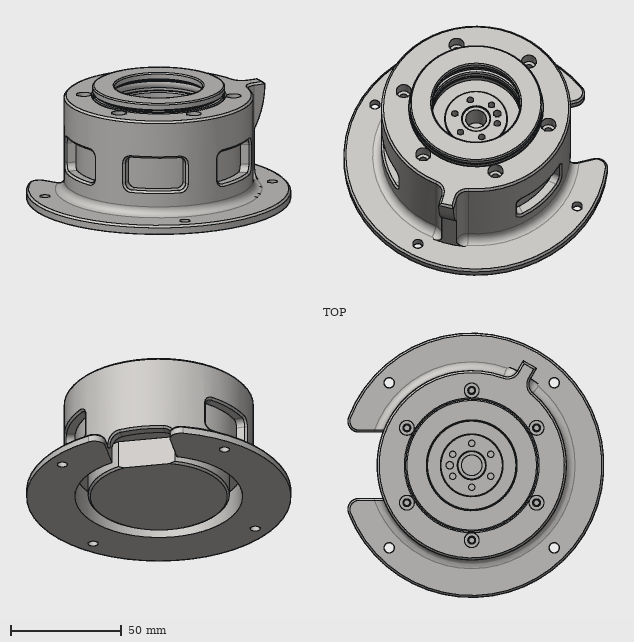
import cadquery as cq
import math

edge_chamfer = 1.0
overall_height = 53.0
housing_height = 48.4
wall_radius = 43.0
bore_radius = 38.0
bore_height = 38.0

flange_radius = 60.0
flange_thickness = 4.1
flange_fillet = 4.0
flange_hole_radius = 2.3
flange_hole_offset = 37.4

slot_half_width = 15.0
slot_height = 12.0
slot_corner_radius = 5.0
flange_horn_radius = 5.0

window_span = 38
window_height = 15.5
window_middle_height = 23.0
window_corner_radius = 3.1
window_angles = [-120, -60, 0, 120]

lug_angle = 60
lug_reach = 52.8
lug_foot_reach = 47.6
lug_half_width = 3.5
lug_root_fillet = 5.0
lug_underside_radius = 42.0

screw_count = 6
screw_start_angle = 30
screw_circle_radius = 34.0
screw_hole_radius = 1.8
screw_thread_radius = 1.3
screw_thread_depth = 6.0
screw_head_radius = 3.4
screw_head_depth = 6.0

bearing_radius = 30.0
bearing_base = 40.4
seat_chamfer = 0.6
upper_washer_bore_radius = 20.0
lower_washer_bore_radius = 20.5
upper_washer_base = 49.5
lower_washer_top = 44.2
washer_chamfer = 0.6
cage_inner_radius = 22.3
cage_outer_radius = 29.5
cage_top = 48.6
ball_circle_radius = 25.2
ball_radius = 3.2
roof_opening_radius = 20.3

motor_lower_radius = 32.0
motor_step_height = 13.8
motor_flat_half_width = 13.1
output_disc_radius = 14.3
output_disc_height = 0.5
output_disc_chamfer = 0.4
output_hole_count = 6
output_start_angle = 30
output_circle_radius = 10.0
output_hole_radius = 1.4
output_hole_depth = 6.0
dowel_hole_radius = 1.7
shaft_recess_radius = 6.6
shaft_recess_depth = 0.5
shaft_recess_chamfer = 0.4
shaft_hole_radius = 4.7
shaft_hole_depth = 12.0


def cylinder(radius, base, top):
    return cq.Workplane("XY", origin=(0, 0, base)).circle(radius).extrude(top - base)


def revolved(profile):
    """Turn a profile of radius and height about the Z axis."""
    return profile.revolve(360, (0, 0, 0), (0, 1, 0))


def holes(centres, radius, base, top):
    plane = cq.Workplane("XY", origin=(0, 0, base))
    return plane.pushPoints(centres).circle(radius).extrude(top - base)


def ring_points(count, radius, start_angle):
    angles = [math.radians(start_angle + 360 * i / count) for i in range(count)]
    return [(radius * math.cos(a), radius * math.sin(a)) for a in angles]


screw_centres = ring_points(screw_count, screw_circle_radius, screw_start_angle)


def make_lug_column():
    """Full height column with the plan shape of the lug and its filleted roots, along +X."""
    root_y = lug_half_width + lug_root_fillet
    root_x = math.sqrt((wall_radius + lug_root_fillet) ** 2 - root_y ** 2)
    touch_scale = wall_radius / (wall_radius + lug_root_fillet)
    touch = (root_x * touch_scale, root_y * touch_scale)
    start_angle = math.pi + math.atan2(root_y, root_x)
    end_angle = 1.5 * math.pi
    mid_angle = (start_angle + end_angle) / 2
    middle = (
        root_x + lug_root_fillet * math.cos(mid_angle),
        root_y + lug_root_fillet * math.sin(mid_angle),
    )
    return (
        cq.Workplane("XY")
        .moveTo(bore_radius, touch[1])
        .lineTo(*touch)
        .threePointArc(middle, (root_x, lug_half_width))
        .lineTo(lug_reach, lug_half_width)
        .lineTo(lug_reach, -lug_half_width)
        .lineTo(root_x, -lug_half_width)
        .threePointArc((middle[0], -middle[1]), (touch[0], -touch[1]))
        .lineTo(bore_radius, -touch[1])
        .close()
        .extrude(housing_height)
    )


def make_lug_trim():
    """Cutter for what lies outside the lug's curved underside and its foot."""
    underside = (
        cylinder(lug_underside_radius, -flange_radius, flange_radius)
        .rotate((0, 0, 0), (1, 0, 0), 90)
        .translate((lug_reach - lug_underside_radius, 0, housing_height - edge_chamfer))
    )
    above_flange = cylinder(flange_radius, flange_thickness, housing_height)
    foot = cylinder(lug_foot_reach, flange_thickness, housing_height)
    return above_flange.cut(foot).cut(underside)


def make_blank():
    """Flange, wall and lug, with one fillet where wall and lug meet the flange."""
    wall = cylinder(wall_radius, 0, housing_height)
    body = cylinder(flange_radius, 0, flange_thickness).union(wall).union(make_lug_column())
    wall_foot = cq.selectors.RadiusNthSelector(-1)
    selection_margin = 0.1
    at_flange_top = cq.selectors.BoxSelector(
        (-lug_reach, -lug_reach, flange_thickness - selection_margin),
        (lug_reach, lug_reach, flange_thickness + selection_margin),
        boundingbox=True,
    )
    body = body.edges(at_flange_top).edges(wall_foot).fillet(flange_fillet)
    body = body.cut(make_lug_trim())
    return body.rotate((0, 0, 0), (0, 0, 1), lug_angle)


def cut_cable_slot(body):
    """Cut the slot, round the flange horns and bevel rim, horns and slot mouth in one run."""
    slot = (
        cq.Workplane("YZ")
        .rect(2 * slot_half_width, 2 * slot_height)
        .extrude(-flange_radius)
        .edges("|X")
        .fillet(slot_corner_radius)
    )
    body = body.cut(slot)
    horn_tips = cq.selectors.BoxSelector(
        (-flange_radius, -flange_radius, 0),
        (-wall_radius - flange_fillet, flange_radius, flange_thickness),
    )
    body = body.edges("|Z").edges(horn_tips).fillet(flange_horn_radius)
    largest_radius = cq.selectors.RadiusNthSelector(-1)
    return body.edges(largest_radius).edges(">Z").chamfer(edge_chamfer)


def cut_window(body, angle):
    """Cut an opening with radial sides through the wall and bevel its mouth."""
    side_slope = math.tan(math.radians(window_span / 2))
    window = (
        cq.Workplane("XY", origin=(0, 0, window_middle_height - window_height / 2))
        .moveTo(roof_opening_radius, -roof_opening_radius * side_slope)
        .lineTo(flange_radius, -flange_radius * side_slope)
        .lineTo(flange_radius, flange_radius * side_slope)
        .lineTo(roof_opening_radius, roof_opening_radius * side_slope)
        .close()
        .extrude(window_height)
        .edges("not (|Z or |Y)")
        .fillet(window_corner_radius)
        .rotate((0, 0, 0), (0, 0, 1), angle)
    )
    body = body.cut(window)
    turn = math.radians(angle)
    upper_edge = (
        wall_radius * math.cos(turn),
        wall_radius * math.sin(turn),
        window_middle_height + window_height / 2,
    )
    return body.edges(cq.selectors.NearestToPointSelector(upper_edge)).chamfer(edge_chamfer)


def make_housing_cavity():
    """Motor bore, roof opening and bearing seat with a bevelled edge."""
    profile = (
        cq.Workplane("XZ")
        .lineTo(bore_radius, 0)
        .lineTo(bore_radius, bore_height)
        .lineTo(roof_opening_radius, bore_height)
        .lineTo(roof_opening_radius, bearing_base)
        .lineTo(bearing_radius, bearing_base)
        .lineTo(bearing_radius, housing_height - seat_chamfer)
        .lineTo(bearing_radius + seat_chamfer, housing_height)
        .lineTo(0, housing_height)
        .close()
    )
    return revolved(profile)


def make_housing():
    body = make_blank()
    body = body.faces(">Z").edges().chamfer(edge_chamfer)
    body = cut_cable_slot(body)
    for angle in window_angles:
        body = cut_window(body, angle)
    body = body.cut(make_housing_cavity())
    head_floor = housing_height - screw_head_depth
    body = body.cut(holes(screw_centres, screw_hole_radius, bore_height, head_floor))
    body = body.cut(holes(screw_centres, screw_head_radius, head_floor, housing_height))
    offset = flange_hole_offset
    flange_centres = [(x, y) for x in (-offset, offset) for y in (-offset, offset)]
    return body.cut(holes(flange_centres, flange_hole_radius, 0, flange_thickness))


def make_washer(bore, base, top):
    washer = cylinder(bearing_radius, base, top).cut(cylinder(bore, base, top))
    return washer.edges("%CIRCLE").chamfer(washer_chamfer)


def make_bearing():
    """Thrust bearing: two washers, a cage and a continuous ring in place of the balls."""
    upper_washer = make_washer(upper_washer_bore_radius, upper_washer_base, overall_height)
    lower_washer = make_washer(lower_washer_bore_radius, bearing_base, lower_washer_top)
    cage_opening = cylinder(cage_inner_radius, lower_washer_top, cage_top)
    cage = cylinder(cage_outer_radius, lower_washer_top, cage_top).cut(cage_opening)
    ball_height = (lower_washer_top + upper_washer_base) / 2
    ball_section = cq.Workplane("XZ").pushPoints([(ball_circle_radius, ball_height)]).circle(ball_radius)
    ball_ring = revolved(ball_section)
    return upper_washer.union(lower_washer).union(cage).union(ball_ring)


def make_motor_body():
    """Wide upper part on a narrower base that has a flat towards the cable slot."""
    base = cylinder(motor_lower_radius, 0, motor_step_height).faces("<Z").edges().chamfer(edge_chamfer)
    flat_distance = math.sqrt(motor_lower_radius ** 2 - motor_flat_half_width ** 2)
    beyond_flat = (
        cq.Workplane("XY", origin=(-flat_distance - motor_lower_radius, 0, 0))
        .rect(2 * motor_lower_radius, 2 * motor_lower_radius)
        .extrude(motor_step_height)
    )
    return base.cut(beyond_flat).union(cylinder(bore_radius, motor_step_height, bore_height))


def make_motor():
    disc_top = bore_height + output_disc_height
    disc = cylinder(output_disc_radius, bore_height, disc_top)
    disc = disc.faces(">Z").edges().chamfer(output_disc_chamfer)
    body = make_motor_body().union(disc)

    recess_floor = disc_top - shaft_recess_depth
    recess = cylinder(shaft_recess_radius, recess_floor, disc_top)
    body = body.cut(recess.faces("<Z").edges().chamfer(shaft_recess_chamfer))
    body = body.cut(cylinder(shaft_hole_radius, recess_floor - shaft_hole_depth, recess_floor))

    output_centres = ring_points(output_hole_count, output_circle_radius, output_start_angle)
    output_floor = disc_top - output_hole_depth
    body = body.cut(holes(output_centres, output_hole_radius, output_floor, disc_top))
    body = body.cut(holes([(-output_circle_radius, 0)], dowel_hole_radius, output_floor, disc_top))
    return body.cut(holes(screw_centres, screw_thread_radius, bore_height - screw_thread_depth, bore_height))


housing = make_housing()
bearing = make_bearing()
motor = make_motor()
result = cq.Compound.makeCompound([body.solids().val() for body in (housing, bearing, motor)])